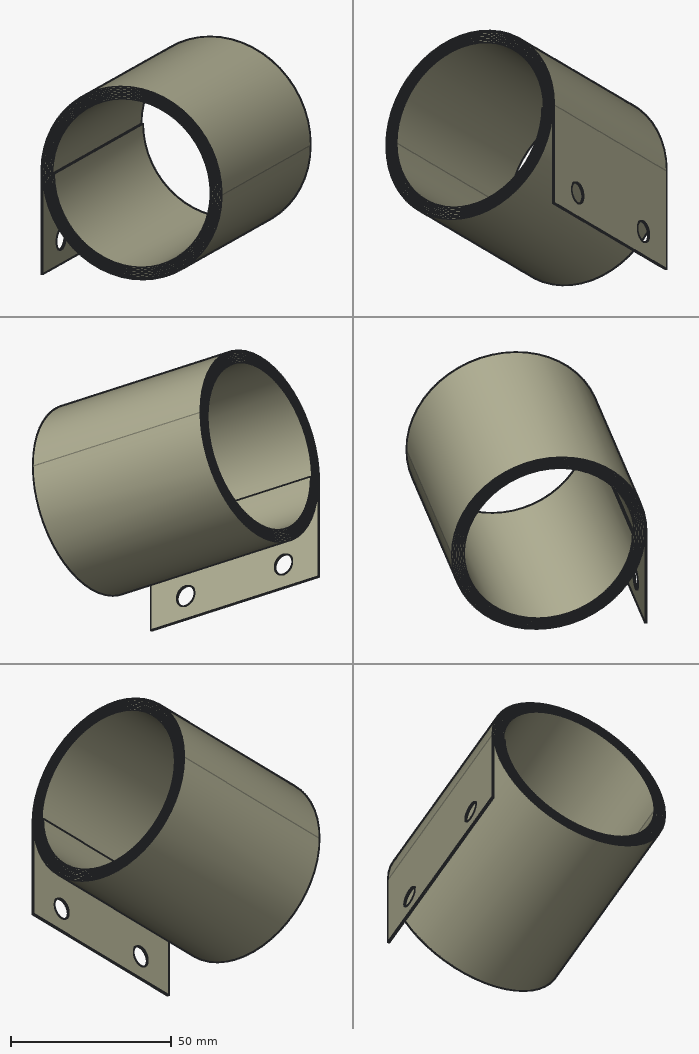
import cadquery as cq

strip_width = 65.0
strip_thickness = 0.56
layer_gap = 0.005
turns = 7
roll_diameter = 62.3
tail_length = 32.95
hole_diameter = 6.8
hole_spacing = 37.95
hole_height = 8.0

outer_radius = roll_diameter / 2
pitch = strip_thickness + layer_gap


def wind_outline(outline, start_radius, inward):
    """Trace one face of the strip with tangent half circles.

    The upper halves are centred on the origin. The lower halves are shifted
    by half a pitch in X, so that each full turn moves in or out by one pitch.
    """
    for turn in range(turns):
        layer = turn if inward else turns - 1 - turn
        radius = start_radius - layer * pitch
        left = (-radius, 0)
        top = (0, radius)
        right = (radius, 0)
        bottom = (pitch / 2, -(radius - pitch / 2))
        next_left = (-(radius - pitch), 0)
        if inward:
            outline = outline.threePointArc(top, right)
            outline = outline.threePointArc(bottom, next_left)
        else:
            outline = outline.threePointArc(bottom, right)
            outline = outline.threePointArc(top, left)
    return outline


def make_strip():
    """Coiled strip with a straight tail hanging from the left of the roll."""
    inner_radius = outer_radius - strip_thickness
    outline = cq.Workplane("XZ", origin=(0, strip_width / 2, 0))
    outline = outline.moveTo(-outer_radius, -tail_length).lineTo(-outer_radius, 0)
    outline = wind_outline(outline, outer_radius, inward=True)
    outline = outline.lineTo(-(inner_radius - turns * pitch), 0)
    outline = wind_outline(outline, inner_radius, inward=False)
    outline = outline.lineTo(-inner_radius, -tail_length).close()
    return outline.extrude(strip_width)


def make_hole_cutters():
    """Two mounting holes through the tail only."""
    hole_z = hole_height - tail_length
    return (
        cq.Workplane("YZ", origin=(-outer_radius, 0, 0))
        .pushPoints([(-hole_spacing / 2, hole_z), (hole_spacing / 2, hole_z)])
        .circle(hole_diameter / 2)
        .extrude(strip_thickness)
    )


result = make_strip().cut(make_hole_cutters())